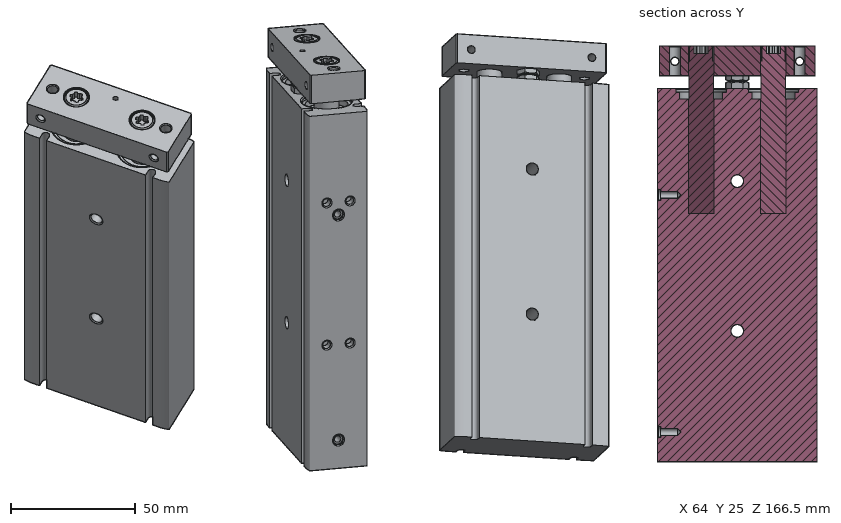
import cadquery as cq
import math

total_height = 166.5
plate_thickness = 12.0
plate_gap = 5.0
housing_height = total_height - plate_thickness - plate_gap
plate_bottom = housing_height + plate_gap

housing_width = 64.0
housing_depth = 25.0
shoulder_radius = 13.3
shoulder_x = 28.1
corner_fillet = 0.3
slot_width = 3.2
slot_depth = 4.0
slot_inner_x = 21.8
slot_x = slot_inner_x + slot_width / 2

mount_z = (52.5, 112.4)
mount_diameter = 5.0
mount_mouth = 6.0
side_hole_diameter = 3.2
side_hole_mouth = 4.2
side_hole_depth = 4.2
side_hole_y = 4.8
port_z = (12.0, 106.9)
port_mouth = 5.0
port_diameter = 4.2
port_depth = 1.3
port_pilot = 2.7
port_pilot_depth = 6.7

rod_x = 14.5
rod_diameter = 10.0
rod_insertion = 50.0
gland_mouth = 21.0
gland_diameter = 20.0
gland_depth = 1.5
seal_diameter = 17.1
seal_depth = 2.7
head_diameter = 9.5
head_chamfer = 0.5
head_height = 6.0
rod_bore_mouth = 10.5
lobe_count = 6
lobe_radius = 0.7
lobe_circle_radius = 2.08
socket_core_diameter = 4.2
socket_depth = 3.0

plate_width = 62.3
plate_depth = 23.0
plate_chamfer = 0.5
plate_hole_x = 25.0
cross_hole_height = 5.8
cross_hole_diameter = 3.2
cross_hole_mouth = 4.2
top_hole_diameter = 4.2
top_hole_mouth = 5.0

bolt_y = 6.0
bolt_diameter = 5.0
bolt_insertion = 8.3
hex_sides = 6
hex_flats = 8.0
hex_corners = hex_flats / math.cos(math.pi / hex_sides)
hex_face_diameter = 7.5
hex_chamfer_angle = math.radians(30)
nut_thickness = 2.0
nut_gap = 0.3
head_thickness = plate_gap - nut_gap - nut_thickness
access_diameter = 2.0


def tapered_mouth(mouth, diameter):
    """A 45 degree countersink that opens upward at the origin, going down -Z."""
    depth = (mouth - diameter) / 2
    return cq.Workplane("XY").circle(mouth / 2).workplane(offset=-depth).circle(diameter / 2).loft()


def cylinder(diameter, height):
    """A cylinder on the origin, upward for a positive height and downward for a negative one."""
    return cq.Workplane("XY").circle(diameter / 2).extrude(height)


def drilled(mouth, diameter, depth):
    """A countersunk drill body that goes down -Z from the origin."""
    return cylinder(diameter, -depth).union(tapered_mouth(mouth, diameter))


def facing_front(body):
    """Turn a body that goes down -Z into one that goes toward +Y."""
    return body.rotate((0, 0, 0), (1, 0, 0), 90)


def facing_left(body):
    """Turn a body that goes down -Z into one that goes toward +X."""
    return body.rotate((0, 0, 0), (0, 1, 0), -90)


def housing_blank():
    half_width = housing_width / 2
    half_depth = housing_depth / 2
    run = half_width - shoulder_x
    drop = shoulder_radius - math.sqrt(shoulder_radius**2 - run**2)
    mid_drop = shoulder_radius - math.sqrt(shoulder_radius**2 - (run / 2) ** 2)
    mid_x = shoulder_x + run / 2
    edge_y = half_depth - drop
    mid_y = half_depth - mid_drop
    return (
        cq.Workplane("XY")
        .moveTo(-shoulder_x, -half_depth)
        .lineTo(shoulder_x, -half_depth)
        .threePointArc((mid_x, -mid_y), (half_width, -edge_y))
        .lineTo(half_width, edge_y)
        .threePointArc((mid_x, mid_y), (shoulder_x, half_depth))
        .lineTo(-shoulder_x, half_depth)
        .threePointArc((-mid_x, mid_y), (-half_width, edge_y))
        .lineTo(-half_width, -edge_y)
        .threePointArc((-mid_x, -mid_y), (-shoulder_x, -half_depth))
        .close()
        .extrude(housing_height)
        .edges("|Z and (>X or <X)")
        .fillet(corner_fillet)
    )


def slot_cutter(x, side):
    """A round-bottomed groove along Z in the face at y = side * housing_depth / 2."""
    floor_center = housing_depth / 2 - slot_depth + slot_width / 2
    slab_length = 2 * slot_depth
    round_floor = cq.Workplane("XY").center(x, side * floor_center).circle(slot_width / 2)
    slab = cq.Workplane("XY").center(x, side * (floor_center + slab_length / 2)).rect(slot_width, slab_length)
    return round_floor.extrude(housing_height).union(slab.extrude(housing_height))


def port_cutter():
    """A tapped port with a pilot hole that ends in a drill point."""
    pilot_end = port_depth + port_pilot_depth
    tip = port_pilot / 2
    pilot = (
        cq.Workplane("XZ")
        .lineTo(port_pilot / 2, 0)
        .lineTo(port_pilot / 2, -pilot_end)
        .lineTo(0, -pilot_end - tip)
        .close()
        .revolve(360, (0, 0, 0), (0, 1, 0))
    )
    return drilled(port_mouth, port_diameter, port_depth).union(pilot)


def rod_seat_cutter():
    """Gland recess, seal recess and rod bore, going down from the housing top."""
    gland = drilled(gland_mouth, gland_diameter, gland_depth)
    seal = cylinder(seal_diameter, -gland_depth - seal_depth)
    bore = cylinder(rod_diameter, -rod_insertion)
    return gland.union(seal).union(bore)


def make_housing():
    body = housing_blank()
    for x in (-slot_x, slot_x):
        for side in (-1, 1):
            body = body.cut(slot_cutter(x, side))
    for z in mount_z:
        hole = facing_front(drilled(mount_mouth, mount_diameter, housing_depth))
        body = body.cut(hole.translate((0, -housing_depth / 2, z)))
        for y in (-side_hole_y, side_hole_y):
            side_hole = drilled(side_hole_mouth, side_hole_diameter, side_hole_depth)
            body = body.cut(facing_left(side_hole).translate((-housing_width / 2, y, z)))
    for z in port_z:
        body = body.cut(facing_left(port_cutter()).translate((-housing_width / 2, 0, z)))
    for x in (-rod_x, rod_x):
        body = body.cut(rod_seat_cutter().translate((x, 0, housing_height)))
    return body


def make_plate():
    body = (
        cq.Workplane("XY", origin=(0, 0, plate_bottom))
        .rect(plate_width, plate_depth)
        .extrude(plate_thickness)
        .edges("|Z")
        .chamfer(plate_chamfer)
    )
    for x in (-plate_hole_x, plate_hole_x):
        cross_hole = facing_front(drilled(cross_hole_mouth, cross_hole_diameter, plate_depth))
        body = body.cut(cross_hole.translate((x, -plate_depth / 2, plate_bottom + cross_hole_height)))
        top_hole = drilled(top_hole_mouth, top_hole_diameter, plate_thickness)
        body = body.cut(top_hole.translate((x, 0, total_height)))
    for x in (-rod_x, rod_x):
        rod_bore = drilled(rod_bore_mouth, rod_diameter, plate_thickness)
        body = body.cut(rod_bore.translate((x, 0, total_height)))
    bolt_bore = cylinder(bolt_diameter, bolt_insertion)
    access_hole = cylinder(access_diameter, plate_thickness)
    return body.cut(bolt_bore.union(access_hole).translate((0, bolt_y, plate_bottom)))


def star_socket():
    """Six-lobed driver recess going down -Z from the origin."""
    core = cylinder(socket_core_diameter, -socket_depth)
    lobes = (
        cq.Workplane("XY")
        .polarArray(lobe_circle_radius, 0, 360, lobe_count)
        .circle(lobe_radius)
        .extrude(-socket_depth)
    )
    return core.union(lobes)


def make_rod(x):
    """A guide rod whose slimmer driver head ends level with the plate top."""
    head_bottom = total_height - head_height
    rod_bottom = housing_height - rod_insertion
    shaft = (
        cq.Workplane("XY", origin=(0, 0, rod_bottom))
        .circle(rod_diameter / 2)
        .extrude(head_bottom - rod_bottom)
    )
    head = (
        cq.Workplane("XY", origin=(0, 0, head_bottom))
        .circle(head_diameter / 2)
        .extrude(head_height)
        .faces(">Z")
        .chamfer(head_chamfer)
    )
    return shaft.union(head).cut(star_socket().translate((0, 0, total_height))).translate((x, 0, 0))


def chamfered_hexagon(thickness, chamfered_face):
    """A hexagon prism on z = 0 with its corners turned off at one end face."""
    radial = (hex_corners - hex_face_diameter) / 2
    turned = (
        cq.Workplane("XY")
        .circle(hex_corners / 2)
        .extrude(thickness)
        .faces(chamfered_face)
        .chamfer(radial * math.tan(hex_chamfer_angle), radial)
    )
    return cq.Workplane("XY").polygon(hex_sides, hex_corners).extrude(thickness).intersect(turned)


def make_nut():
    bore = cylinder(bolt_diameter, nut_thickness)
    nut_body = chamfered_hexagon(nut_thickness, "<Z").cut(bore)
    return nut_body.translate((0, bolt_y, plate_bottom - nut_thickness))


def make_bolt():
    shank_length = plate_gap + bolt_insertion
    shank = cylinder(bolt_diameter, shank_length)
    bolt_body = chamfered_hexagon(head_thickness, ">Z").union(shank)
    return bolt_body.translate((0, bolt_y, housing_height))


housing = make_housing()
plate = make_plate()
rods = [make_rod(x) for x in (-rod_x, rod_x)]
nut = make_nut()
bolt = make_bolt()

result = cq.Compound.makeCompound(
    [housing.val(), plate.val(), *[rod.val() for rod in rods], nut.val(), bolt.val()]
)